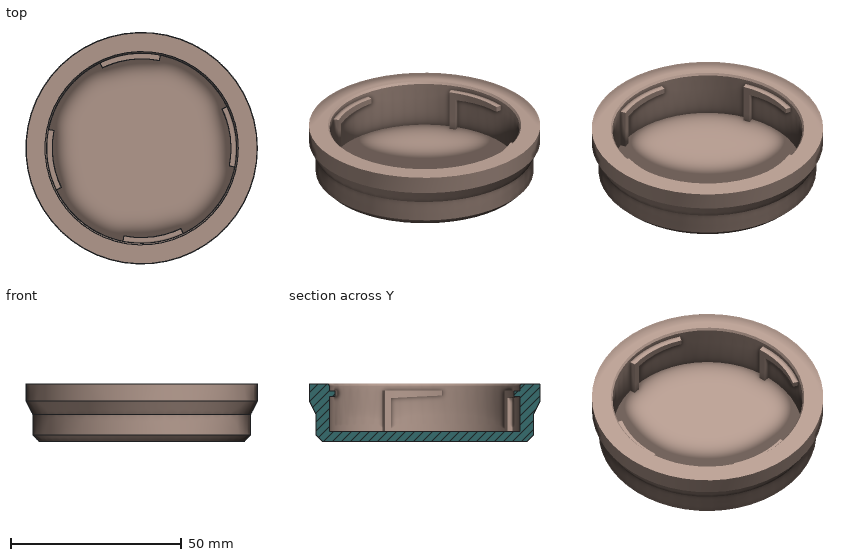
import cadquery as cq
import math

total_height = 17.0
rim_radius = 34.0
body_radius = 64.0 / 2
rim_bottom_z = 12.0
cone_bottom_z = 8.0
bottom_chamfer = 2.0

bore_radius = 55.8 / 2
floor_z = 3.0
mouth_chamfer_width = 0.5
mouth_chamfer_depth = 0.6

lug_count = 4
lug_inner_radius = 26.25
lug_top_z = 15.0
lug_start_angle = -11.4
lug_end_angle = 26.0
leg_angle = 4.2
bar_end_thickness = 1.5
bar_leg_thickness = 2.3
wall_overlap = 0.35


def make_body():
    """Turn the stepped cup, with its pocket and chamfered mouth."""
    outline = [
        (0, 0),
        (body_radius - bottom_chamfer, 0),
        (body_radius, bottom_chamfer),
        (body_radius, cone_bottom_z),
        (rim_radius, rim_bottom_z),
        (rim_radius, total_height),
        (bore_radius + mouth_chamfer_width, total_height),
        (bore_radius, total_height - mouth_chamfer_depth),
        (bore_radius, floor_z),
        (0, floor_z),
    ]
    return cq.Workplane("XZ").polyline(outline).close().revolve(360, (0, 0), (0, 1))


def make_lug():
    """Make the lug on the +X side, with the ramped opening under its bar."""
    span_angle = lug_end_angle - lug_start_angle
    sector = (
        cq.Workplane("XZ")
        .moveTo(lug_inner_radius, floor_z)
        .lineTo(bore_radius + wall_overlap, floor_z)
        .lineTo(bore_radius + wall_overlap, lug_top_z)
        .lineTo(lug_inner_radius, lug_top_z)
        .close()
        .revolve(span_angle, (0, 0), (0, 1))
    )

    sector = sector.rotate((0, 0, 0), (0, 0, 1), leg_angle - span_angle)
    free_end_y = -(bore_radius + wall_overlap) * math.sin(math.radians(span_angle - leg_angle))
    opening = (
        cq.Workplane("YZ")
        .moveTo(free_end_y, floor_z)
        .lineTo(0, floor_z)
        .lineTo(0, lug_top_z - bar_leg_thickness)
        .lineTo(free_end_y, lug_top_z - bar_end_thickness)
        .close()
        .extrude(rim_radius)
    )
    return sector.cut(opening).rotate((0, 0, 0), (0, 0, 1), lug_end_angle - leg_angle)


result = make_body()
lug = make_lug()
for index in range(lug_count):
    result = result.union(lug.rotate((0, 0, 0), (0, 0, 1), index * 360 / lug_count))